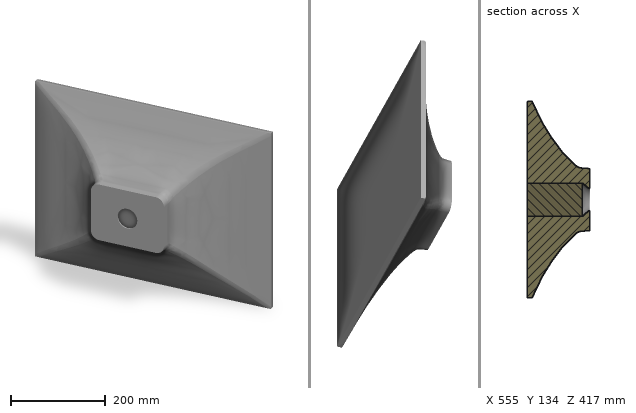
import cadquery as cq

length = 555
height = 417.0
depth = 134.0

rim_thickness = 11.0
rim_draft = 0.5

neck_length = 24.5
neck_draft = 1.5
neck_half_length = 86.0
neck_half_height = 66.0
neck_root = depth - neck_length

end_wall_points = [(226.0, 26.5), (161.0, 52.0), (112.5, 83.0)]
side_wall_points = [(162.0, 33.5), (131.5, 52.0), (101.0, 75.0)]

root_radius = 24.5
ridge_radius = 19.5

hole_radius = 23.5
lip_thickness = 3.0
plug_radius = 34.5
plug_setback = 16.0

edge_margin = 0.05


def flared_prism(plane, half_width, wall_points, neck_half_width, prism_length):
    """Prism with the outline of the basin: flat rim, two concave walls and a drafted neck."""
    root_half_width = neck_half_width + neck_draft
    wall = [(half_width, rim_thickness), *wall_points, (root_half_width, neck_root)]
    right_wall = [(width, -wall_depth) for width, wall_depth in wall]
    left_wall = [(-width, -wall_depth) for width, wall_depth in reversed(wall)]
    prism = (
        cq.Workplane(plane)
        .workplane(offset=-prism_length / 2)
        .moveTo(rim_draft - half_width, 0)
        .lineTo(half_width - rim_draft, 0)
        .lineTo(half_width, -rim_thickness)
        .spline(right_wall[1:], includeCurrent=True)
        .lineTo(neck_half_width, -depth)
        .lineTo(-neck_half_width, -depth)
        .lineTo(-root_half_width, -neck_root)
        .spline(left_wall[1:], includeCurrent=True)
        .close()
        .extrude(prism_length)
    )
    root_edges = cq.selectors.BoxSelector(
        (-length, -neck_root - edge_margin, -length),
        (length, -neck_root + edge_margin, length),
    )
    return prism.edges(root_edges).fillet(root_radius)


def filleted_basin():
    """Two crossing prisms share the basin; the ridges between their walls are rounded."""
    along_z = flared_prism("XY", length / 2, end_wall_points, neck_half_length, height)
    along_x = flared_prism("ZY", height / 2, side_wall_points, neck_half_height, length)
    basin = along_z.intersect(along_x)
    ridges = cq.selectors.BoxSelector(
        (-length, -depth + edge_margin, -length),
        (length, -rim_thickness - edge_margin, length),
    )
    return basin.edges(ridges).edges("not(#X or #Y or #Z)").fillet(ridge_radius)


def drain_void():
    """Hole through the lip, the flared seat and the straight bore that holds the plug."""
    return (
        cq.Workplane("XY")
        .moveTo(0, -depth)
        .lineTo(hole_radius, -depth)
        .lineTo(hole_radius, -depth + lip_thickness)
        .lineTo(plug_radius, -depth + plug_setback)
        .lineTo(plug_radius, 0)
        .lineTo(0, 0)
        .close()
        .revolve(360, (0, 0), (0, 1))
    )


def drain_plug():
    """Cylinder from the flared seat to the rear face."""
    return cq.Workplane("XZ").circle(plug_radius).extrude(depth - plug_setback)


basin = filleted_basin().cut(drain_void())
plug = drain_plug()

result = cq.Compound.makeCompound([basin.val(), plug.val()])